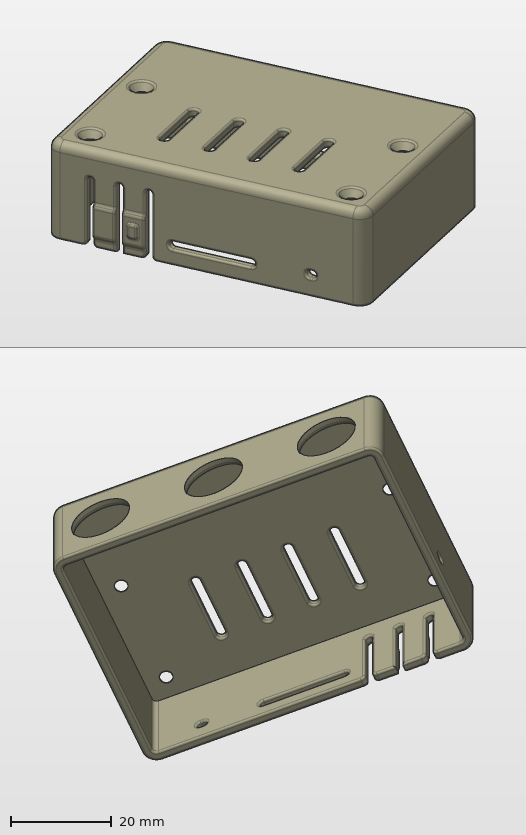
import cadquery as cq
import math

length = 71.0
width = 51.0
height = 21.5
wall = 2.0
corner_radius = 3.0
top_radius = 2.0
edge_radius = 0.5
overlap = 0.35
snap = 0.01
front_y = -width / 2
back_y = width / 2
right = cq.Vector(1, 0, 0)
up = cq.Vector(0, 0, 1)
outward = cq.Vector(0, -1, 0)

screw_diameter = 2.7
sink_diameter = 5.3
sink_depth = 1.8
sink_edge_radius = 0.7
screw_x = 29.0
screw_front_y = -19.0
screw_back_y = 4.0

vent_width = 2.0
vent_length = 15.0
vent_inner_x = 5.0
vent_outer_x = 15.0
vent_y = (screw_front_y + screw_back_y) / 2

gap_width = 1.5
gap_top = 15.5
gap_foot_radius = 1.0
gap_pitch = 6.5
gap_middle_x = -19.3
gap_centers = [gap_middle_x + i * gap_pitch for i in (-1, 0, 1)]

step_height = 0.5
pad_bottom = 1.55
pad_top = 10.15
pad_radius = 1.1
knob_width = 3.0
knob_height = 4.0
knob_corner = 1.0
knob_radius = 0.5
knob_x = gap_middle_x + gap_pitch / 2
knob_z = (pad_bottom + pad_top) / 2

card_length = 19.2
card_height = 1.8
card_x = 1.2
card_z = 4.4
pin_length = 2.2
pin_height = 1.7
pin_z = 4.9
front_pin_x = 23.2
left_pin_y = -6.45

plug_diameter = 12.5
plug_pitch = 24.35
plug_z = 10.0
plug_edge_radius = 0.9


def make_shell():
    outer = (
        cq.Workplane("XY")
        .rect(length, width)
        .extrude(height)
        .edges("|Z")
        .fillet(corner_radius)
        .faces(">Z")
        .edges()
        .fillet(top_radius)
    )
    inner = (
        cq.Workplane("XY")
        .rect(length - 2 * wall, width - 2 * wall)
        .extrude(height - wall)
        .edges("|Z")
        .fillet(corner_radius - wall)
    )
    return outer.cut(inner)


def step_points(foot, radius):
    """Points of an S-shaped step of two equal arcs, from its foot inwards to its top."""
    half_run = math.sqrt(radius * step_height - step_height**2 / 4)
    half_angle = math.asin(half_run / radius) / 2
    bow_run = radius * math.sin(half_angle)
    bow_rise = radius * (1 - math.cos(half_angle))
    shoulder = foot - 2 * half_run
    return [
        (foot, 0),
        (foot - bow_run, bow_rise),
        (foot - half_run, step_height / 2),
        (shoulder + bow_run, step_height - bow_rise),
        (shoulder, step_height),
    ]


def half_strip(plane, foot, radius):
    """Right half of the cross-section of a raised strip."""
    start, low_bow, middle, high_bow, shoulder = step_points(foot, radius)
    return (
        cq.Workplane(plane)
        .moveTo(0, -overlap)
        .lineTo(foot, -overlap)
        .lineTo(*start)
        .threePointArc(low_bow, middle)
        .threePointArc(high_bow, shoulder)
        .lineTo(0, step_height)
        .close()
    )


def raised_strip(center, across, size, radius, run):
    """Strip on the front wall: the stepped section spans `across`, swept over `run`."""
    strip = cq.Workplane("XY")
    for side in (across, -across):
        plane = cq.Plane(origin=center, xDir=side, normal=side.cross(outward))
        half = half_strip(plane, size / 2, radius)
        strip = strip.union(half.extrude(run / 2, both=True))
    return strip


def make_pads():
    """One raised strip across both buttons, from the first gap to the last."""
    center = cq.Vector(gap_middle_x, front_y, knob_z)
    return raised_strip(center, up, pad_top - pad_bottom, pad_radius, 2 * gap_pitch)


def make_knob():
    """Raised rectangle with rounded corners: two crossed strips and four turned corners."""
    straight_x = knob_width - 2 * knob_corner
    straight_z = knob_height - 2 * knob_corner
    center = cq.Vector(knob_x, front_y - step_height, knob_z)
    knob = raised_strip(center, right, knob_width, knob_radius, straight_z)
    knob = knob.union(raised_strip(center, up, knob_height, knob_radius, straight_x))
    for x in (-straight_x / 2, straight_x / 2):
        for z in (-straight_z / 2, straight_z / 2):
            plane = cq.Plane(origin=center + cq.Vector(x, 0, z), xDir=right, normal=right.cross(outward))
            corner = half_strip(plane, knob_corner, knob_radius)
            knob = knob.union(corner.revolve(360, (0, 0), (0, 1)))
    return knob


def cut_gaps(body):
    """Cut the round-topped gaps beside the buttons."""
    side_top = gap_top - gap_width / 2
    for x in gap_centers:
        gap = (
            cq.Workplane("XZ", origin=(x, front_y + wall + overlap, 0))
            .moveTo(-gap_width / 2, -overlap)
            .lineTo(-gap_width / 2, side_top)
            .threePointArc((0, gap_top), (gap_width / 2, side_top))
            .lineTo(gap_width / 2, -overlap)
            .close()
            .extrude(2 * overlap + wall + step_height)
        )
        body = body.cut(gap)
    return body


def round_gap_feet(body):
    """Round the bottom corners of the two outer gaps."""
    for x in (gap_centers[0], gap_centers[-1]):
        feet = cq.selectors.BoxSelector(
            (x - gap_width, front_y - overlap, -snap),
            (x + gap_width, front_y + wall + overlap, snap),
        )
        body = body.edges("|Y").edges(feet).fillet(gap_foot_radius)
    return body


def round_gaps_and_rim(body):
    """Round the bottom rim and the gaps on both faces of the wall."""
    gap_zone = cq.selectors.BoxSelector(
        (gap_centers[0] - gap_width, front_y - 2 * step_height, -snap),
        (gap_centers[-1] + gap_width, front_y + wall + snap, height - 2 * top_radius),
    )
    rim = body.faces("<Z").edges()
    rim_edges = rim.edges("not |Y").vals() + rim.edges("|Y").edges(-gap_zone).vals()
    gap_edges = body.edges(gap_zone).edges("not(|X or |Y)").vals()
    return body.newObject(rim_edges + gap_edges).fillet(edge_radius)


def round_mouth(body, plane, size, across, radius):
    """Round the edge of an opening of the given size centred on the plane."""
    reach = plane.xDir * (size / 2 + snap) + plane.yDir * (across / 2 + snap) + plane.zDir * snap
    reach = cq.Vector(abs(reach.x), abs(reach.y), abs(reach.z))
    mouth = cq.selectors.BoxSelector(plane.origin - reach, plane.origin + reach, boundingbox=True)
    return body.newObject(body.edges(mouth).vals()).fillet(radius)


def cut_opening(body, plane, size, across):
    """Cut a round-ended slot, or a circle where both sizes are equal, through one wall.

    The plane looks into the wall from the face it lies on.
    """
    outline = cq.Workplane(plane)
    outline = outline.slot2D(size, across) if size > across else outline.circle(across / 2)
    return body.cut(outline.extrude(wall + overlap))


def cut_rounded_slot(body, plane, size, across):
    """Cut a slot and round its edge on both faces of the wall."""
    body = cut_opening(body, plane, size, across)
    far_plane = cq.Plane(plane.origin + plane.zDir * wall, plane.xDir, plane.zDir)
    for face_plane in (plane, far_plane):
        body = round_mouth(body, face_plane, size, across, edge_radius)
    return body


def cut_screw_holes(body):
    sink_half_angle = math.degrees(math.atan2(sink_diameter - screw_diameter, 2 * sink_depth))
    for x in (-screw_x, screw_x):
        for y in (screw_front_y, screw_back_y):
            plane = cq.Plane(origin=(x, y, height), xDir=right, normal=-up)
            hole = cq.Workplane(plane).circle(screw_diameter / 2).extrude(wall + overlap)
            cone = cq.Workplane(plane).circle(sink_diameter / 2).extrude(sink_depth, taper=sink_half_angle)
            body = body.cut(hole).cut(cone)
            body = round_mouth(body, plane, sink_diameter, sink_diameter, sink_edge_radius)
    return body


def cut_vents(body):
    for x in (-vent_outer_x, -vent_inner_x, vent_inner_x, vent_outer_x):
        plane = cq.Plane(origin=(x, vent_y, height), xDir=outward, normal=-up)
        body = cut_rounded_slot(body, plane, vent_length, vent_width)
    return body


def cut_wall_openings(body):
    card_plane = cq.Plane(origin=(card_x, front_y, card_z), xDir=right, normal=-outward)
    body = cut_rounded_slot(body, card_plane, card_length, card_height)
    front_pin = cq.Plane(origin=(front_pin_x, front_y, pin_z), xDir=right, normal=-outward)
    left_pin = cq.Plane(origin=(-length / 2, left_pin_y, pin_z), xDir=outward, normal=right)
    for plane in (front_pin, left_pin):
        body = cut_rounded_slot(body, plane, pin_length, pin_height)
    for x in (-plug_pitch, 0, plug_pitch):
        plane = cq.Plane(origin=(x, back_y - wall, plug_z), xDir=right, normal=-outward)
        body = cut_opening(body, plane, plug_diameter, plug_diameter)
        body = round_mouth(body, plane, plug_diameter, plug_diameter, plug_edge_radius)
    return body


result = make_shell().union(make_pads())
result = round_gaps_and_rim(round_gap_feet(cut_gaps(result))).union(make_knob())
result = cut_wall_openings(cut_vents(cut_screw_holes(result)))